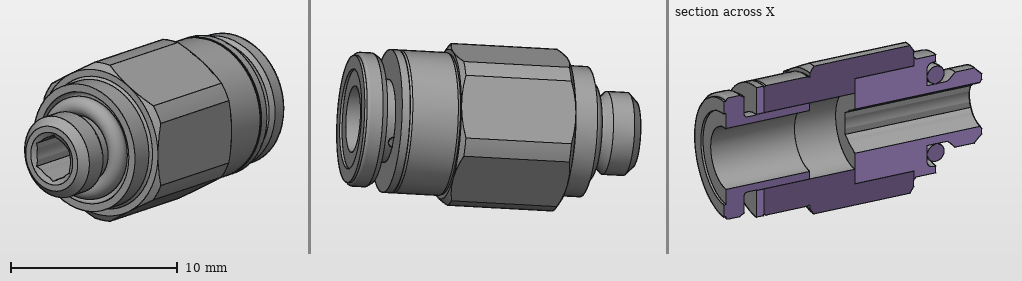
import cadquery as cq
import math


bore_af = 2.5
bore_drill_radius = 1.3
socket_mouth_radius = 1.62
socket_mouth_angle = 120
stud_entry_chamfer = 0.5
thread_radius = 2.5
neck_radius = 2.0
neck_fillet = 0.3
thread_end_y = 1.8
stud_flange_y = 3.1
stud_flange_radius = 3.92
flange_root_radius = 4.08
flange_root_length = 0.15
recess_radius = 3.44
recess_fillet = 0.4
spigot_radius = 3.5
spigot_length = 4.0

gasket_tube_radius = 0.58
gasket_ring_radius = neck_radius + gasket_tube_radius

hex_af = 9.0
hex_corner_radius = 4.9
hex_front_y = 4.57
hex_length = 7.03
hex_rear_y = hex_front_y + hex_length
hex_chamfer_length = 0.27
hex_face_radius = hex_af / 2
sleeve_radius = 4.3
sleeve_rear_y = 14.7
sleeve_chamfer_length = 0.15
sleeve_chamfer_drop = 0.07

cap_length = 0.5
cap_rear_y = sleeve_rear_y + cap_length

button_neck_radius = 2.5
button_neck_front_y = hex_rear_y
button_fillet = 0.2
tube_radius = 2.0
button_radius = 4.03
button_flange_y = 16.0
button_chamfer_length = 0.32
button_chamfer_drop = 0.2
button_round = 0.18
button_rear_y = 17.25
rim_height = 0.15
rim_outer_radius = 3.83
rim_inner_radius = 3.0
notch_angle = 225
notch_width = 0.72
notch_depth = 0.1
notch_end_y = cap_rear_y + 0.27


def turn(profile):
    """Revolve a closed (radius, Y) profile about the Y axis."""
    return profile.close().revolve(360, (0, 0, 0), (0, 1, 0))


def cylinder(radius, y_start, y_end):
    return cq.Workplane("XZ", origin=(0, y_start, 0)).circle(radius).extrude(y_start - y_end)


def hexagon(across_flats, y_start, y_end):
    """Hexagonal prism along Y with two corners on the Z axis."""
    corner_diameter = across_flats / math.cos(math.pi / 6)
    prism = cq.Workplane("XZ", origin=(0, y_start, 0)).polygon(6, corner_diameter)
    return prism.extrude(y_start - y_end).rotate((0, 0, 0), (0, 1, 0), 30)


def make_stud():
    recess_floor_y = stud_flange_y + gasket_tube_radius
    spigot_end_y = hex_front_y + spigot_length
    neck_corner_y = thread_end_y + thread_radius - neck_radius
    fillet_tangent = neck_fillet * math.tan(math.pi / 8)
    taper_end = (
        neck_radius + fillet_tangent * math.sqrt(0.5),
        neck_corner_y - fillet_tangent * math.sqrt(0.5),
    )
    neck_start = (neck_radius, neck_corner_y + fillet_tangent)
    recess_corner = recess_fillet * (1 - math.sqrt(0.5))
    body = turn(
        cq.Workplane("XY")
        .moveTo(0, 0)
        .lineTo(thread_radius - stud_entry_chamfer, 0)
        .lineTo(thread_radius, stud_entry_chamfer)
        .lineTo(thread_radius, thread_end_y)
        .lineTo(*taper_end)
        .tangentArcPoint(neck_start, relative=False)
        .lineTo(neck_radius, recess_floor_y)
        .lineTo(recess_radius - recess_fillet, recess_floor_y)
        .threePointArc(
            (recess_radius - recess_corner, recess_floor_y - recess_corner),
            (recess_radius, recess_floor_y - recess_fillet),
        )
        .lineTo(recess_radius, stud_flange_y)
        .lineTo(stud_flange_radius, stud_flange_y)
        .lineTo(stud_flange_radius, hex_front_y - flange_root_length)
        .lineTo(flange_root_radius, hex_front_y)
        .lineTo(spigot_radius, hex_front_y)
        .lineTo(spigot_radius, spigot_end_y)
        .lineTo(0, spigot_end_y)
    )
    socket = hexagon(bore_af, 0, spigot_end_y)
    drill = cylinder(bore_drill_radius, 0, spigot_end_y)
    mouth_depth = socket_mouth_radius / math.tan(math.radians(socket_mouth_angle / 2))
    mouth = turn(cq.Workplane("XY").moveTo(0, 0).lineTo(socket_mouth_radius, 0).lineTo(0, mouth_depth))
    return body.cut(socket).cut(drill).cut(mouth)


def make_gasket():
    tube = cq.Workplane("XY").center(gasket_ring_radius, stud_flange_y).circle(gasket_tube_radius)
    return tube.revolve(360, (-gasket_ring_radius, 0, 0), (-gasket_ring_radius, 1, 0))


def make_housing():
    turned_blank = turn(
        cq.Workplane("XY")
        .moveTo(0, hex_front_y)
        .lineTo(hex_face_radius, hex_front_y)
        .lineTo(hex_corner_radius, hex_front_y + hex_chamfer_length)
        .lineTo(hex_corner_radius, hex_rear_y - hex_chamfer_length)
        .lineTo(hex_face_radius, hex_rear_y)
        .lineTo(0, hex_rear_y)
    )
    hex_body = hexagon(hex_af, hex_front_y, hex_rear_y).intersect(turned_blank)
    sleeve = turn(
        cq.Workplane("XY")
        .moveTo(0, hex_rear_y)
        .lineTo(sleeve_radius - sleeve_chamfer_drop, hex_rear_y)
        .lineTo(sleeve_radius, hex_rear_y + sleeve_chamfer_length)
        .lineTo(sleeve_radius, sleeve_rear_y - sleeve_chamfer_length)
        .lineTo(sleeve_radius - sleeve_chamfer_drop, sleeve_rear_y)
        .lineTo(0, sleeve_rear_y)
    )
    spigot_bore = cylinder(spigot_radius, hex_front_y, hex_front_y + spigot_length)
    button_bore = cylinder(button_neck_radius, hex_front_y, sleeve_rear_y)
    return hex_body.union(sleeve).cut(spigot_bore).cut(button_bore)


def make_cap_ring():
    return cylinder(sleeve_radius, sleeve_rear_y, cap_rear_y).cut(
        cylinder(button_neck_radius, sleeve_rear_y, cap_rear_y)
    )


def make_release_button():
    round_offset = button_round * (1 - math.sqrt(0.5))
    fillet_offset = button_fillet * (1 - math.sqrt(0.5))
    body = turn(
        cq.Workplane("XY")
        .moveTo(tube_radius, button_neck_front_y)
        .lineTo(button_neck_radius, button_neck_front_y)
        .lineTo(button_neck_radius, button_flange_y - button_fillet)
        .threePointArc(
            (button_neck_radius + fillet_offset, button_flange_y - fillet_offset),
            (button_neck_radius + button_fillet, button_flange_y),
        )
        .lineTo(button_radius - button_chamfer_drop, button_flange_y)
        .lineTo(button_radius, button_flange_y + button_chamfer_length)
        .lineTo(button_radius, button_rear_y - button_round)
        .threePointArc(
            (button_radius - round_offset, button_rear_y - round_offset),
            (button_radius - button_round, button_rear_y),
        )
        .lineTo(rim_outer_radius, button_rear_y)
        .lineTo(rim_outer_radius, button_rear_y + rim_height)
        .lineTo(rim_inner_radius, button_rear_y + rim_height)
        .lineTo(rim_inner_radius, button_rear_y)
        .lineTo(tube_radius, button_rear_y)
    )
    return body.cut(make_neck_notch())


def make_neck_notch():
    """Shallow round-ended groove cut lengthwise into one side of the button's neck."""
    round_centre_y = notch_end_y - notch_width / 2
    half_width = notch_width / 2
    groove = (
        cq.Workplane("YZ", origin=(button_neck_radius - notch_depth, 0, 0))
        .moveTo(button_neck_front_y, -half_width)
        .lineTo(round_centre_y, -half_width)
        .threePointArc((notch_end_y, 0), (round_centre_y, half_width))
        .lineTo(button_neck_front_y, half_width)
        .close()
        .extrude(2 * notch_depth)
    )
    return groove.rotate((0, 0, 0), (0, 1, 0), -notch_angle)


stud = make_stud()
gasket = make_gasket()
housing = make_housing()
cap_ring = make_cap_ring()
release_button = make_release_button()

result = cq.Compound.makeCompound(
    [stud.val(), gasket.val(), housing.val(), cap_ring.val(), release_button.val()]
)